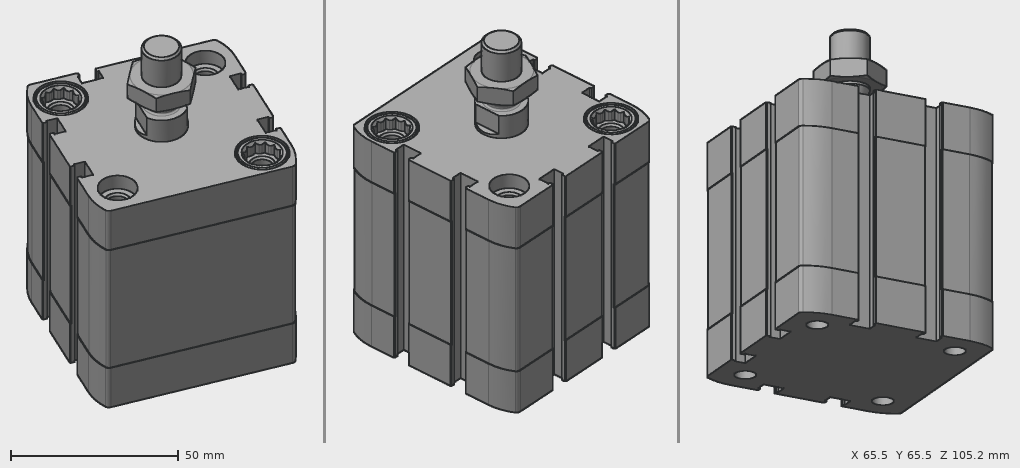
import cadquery as cq
import math

CAP_WIDTH = 65.5
HOUSING_HEIGHT = 75.0
CAP_HEIGHT = 15.0
BARREL_INSET = 0.2

HOLE_OFFSET = 23.2
CORNER_ARC_RADIUS = 18.4
CORNER_BLEND_RADIUS = 1.6

SLOT_OFFSET = 11.3
SLOT_NECK_WIDTH = 5.5
SLOT_WIDTH = 6.8
SLOT_LIP = 1.5
SLOT_DEPTH = 5.0
SLOT_CHAMFER = 0.3

THREAD_DIAMETER = 6.6
THREAD_CHAMFER_DIAMETER = 8.0
COUNTERBORE_DIAMETER = 12.0
COUNTERBORE_DEPTH = 5.0
DRIVE_CIRCLE_DIAMETER = 10.6
DRIVE_TIP_DIAMETER = 11.6
DRIVE_DEPTH = 4.5
DRIVE_MOUTH_DIAMETER = 12.4
DRIVE_MOUTH_DEPTH = 1.2
GROOVE_OUTER_DIAMETER = 16.4
SCREW_HEAD_DIAMETER = 15.5
SCREW_HEAD_CHAMFER = 0.4
GROOVE_DEPTH = 1.0

ROD_TOP = 105.2
ROD_DIAMETER = 16.0
ROD_SHOULDER = 83.2
FLATS_WIDTH = 13.0
FLATS_BOTTOM = 76.6
FLATS_RUNOUT = 0.7
NECK_DIAMETER = 10.2
NECK_FLARE = 0.6
NECK_TOP = 84.7
NECK_BLEND_RADIUS = 0.9
STUD_DIAMETER = 12.0
STUD_BOTTOM = 87.4
STUD_CHAMFER = 0.7

NUT_BOTTOM = 88.3
NUT_HEIGHT = 6.0
NUT_ACROSS_FLATS = 19.0
NUT_CORNER_DROP = 0.4


def block(half_width, bottom, height):
    """Prism with rounded corners, centred on Z."""
    inset = CAP_WIDTH / 2 - half_width
    radius = CORNER_ARC_RADIUS - inset
    arc_start = HOLE_OFFSET
    arc_reach = half_width - arc_start
    arc_end = half_width - radius + math.sqrt(radius**2 - arc_reach**2)
    outline = (
        cq.Workplane("XY", origin=(0, 0, bottom))
        .moveTo(-arc_start, half_width)
        .lineTo(arc_start, half_width)
        .radiusArc((half_width, arc_end), radius)
        .lineTo(half_width, -arc_end)
        .radiusArc((arc_start, -half_width), radius)
        .lineTo(-arc_start, -half_width)
        .radiusArc((-half_width, -arc_end), radius)
        .lineTo(-half_width, arc_end)
        .radiusArc((-arc_start, half_width), radius)
        .close()
    )
    prism = outline.extrude(height)
    return prism.faces("<X or >X").edges("|Z").fillet(CORNER_BLEND_RADIUS - inset)


def slot_cutter(half_width, bottom, height):
    """T-slot cutter opening on a +Y face at half_width, with a chamfered mouth."""
    neck = SLOT_NECK_WIDTH / 2
    mouth = neck + SLOT_CHAMFER
    wide = SLOT_WIDTH / 2
    lip = CAP_WIDTH / 2 - SLOT_LIP
    floor = CAP_WIDTH / 2 - SLOT_DEPTH
    right_side = [
        (mouth, half_width),
        (neck, half_width - SLOT_CHAMFER),
        (neck, lip),
        (wide, lip),
        (wide, floor),
    ]
    left_side = [(-x, y) for x, y in reversed(right_side)]
    section = cq.Workplane("XY", origin=(0, 0, bottom)).polyline(right_side + left_side).close()
    return section.extrude(height)


def slotted_block(half_width, bottom, height):
    """Block with two T-slots on each of the +Y, -X and -Y sides."""
    body = block(half_width, bottom, height)
    cutter = slot_cutter(half_width, bottom, height)
    for side_angle in (0, 90, 180):
        for offset in (-SLOT_OFFSET, SLOT_OFFSET):
            placed = cutter.translate((offset, 0, 0)).rotate((0, 0, 0), (0, 0, 1), side_angle)
            body = body.cut(placed)
    return body


def cylinder(diameter, bottom, top):
    return cq.Workplane("XY", origin=(0, 0, bottom)).circle(diameter / 2).extrude(top - bottom)


def cone(bottom_diameter, top_diameter, bottom, top):
    return cq.Workplane(cq.Solid.makeCone(
        bottom_diameter / 2, top_diameter / 2, top - bottom, pnt=cq.Vector(0, 0, bottom)
    ))


def threaded_hole(mouth_z):
    """Through hole with a 45 degree chamfer at mouth_z."""
    chamfer = (THREAD_CHAMFER_DIAMETER - THREAD_DIAMETER) / 2
    mouth = cone(THREAD_DIAMETER, THREAD_CHAMFER_DIAMETER, mouth_z - chamfer, mouth_z)
    return cylinder(THREAD_DIAMETER, 0, mouth_z).union(mouth)


def plain_hole():
    floor = HOUSING_HEIGHT - COUNTERBORE_DEPTH
    return threaded_hole(floor).union(cylinder(COUNTERBORE_DIAMETER, floor, HOUSING_HEIGHT))


def drive_recess():
    """Twelve-pointed drive: two hexagons and a circle, with a conical mouth."""
    floor = HOUSING_HEIGHT - DRIVE_DEPTH
    recess = cylinder(DRIVE_CIRCLE_DIAMETER, floor, HOUSING_HEIGHT)
    hexagon = (
        cq.Workplane("XY", origin=(0, 0, floor))
        .polygon(6, DRIVE_TIP_DIAMETER)
        .extrude(DRIVE_DEPTH)
    )
    for angle in (0, 30):
        recess = recess.union(hexagon.rotate((0, 0, 0), (0, 0, 1), angle))
    mouth = cone(
        DRIVE_CIRCLE_DIAMETER, DRIVE_MOUTH_DIAMETER, HOUSING_HEIGHT - DRIVE_MOUTH_DEPTH, HOUSING_HEIGHT
    )
    return recess.union(mouth)


def ring_groove():
    """Groove around the screw head, whose upper edge is chamfered."""
    head_top = SCREW_HEAD_DIAMETER - 2 * SCREW_HEAD_CHAMFER
    floor = HOUSING_HEIGHT - GROOVE_DEPTH
    chamfer_bottom = HOUSING_HEIGHT - SCREW_HEAD_CHAMFER
    head = cylinder(SCREW_HEAD_DIAMETER, floor, chamfer_bottom).union(
        cone(SCREW_HEAD_DIAMETER, head_top, chamfer_bottom, HOUSING_HEIGHT)
    )
    return cylinder(GROOVE_OUTER_DIAMETER, floor, HOUSING_HEIGHT).cut(head)


def make_housing():
    half_cap = CAP_WIDTH / 2
    barrel_height = HOUSING_HEIGHT - 2 * CAP_HEIGHT
    body = slotted_block(half_cap - BARREL_INSET, CAP_HEIGHT, barrel_height)
    for cap_bottom in (0, HOUSING_HEIGHT - CAP_HEIGHT):
        body = body.union(slotted_block(half_cap, cap_bottom, CAP_HEIGHT))

    plain = plain_hole()
    screw_hole = threaded_hole(HOUSING_HEIGHT - DRIVE_DEPTH).union(drive_recess())
    groove = ring_groove()
    for side in (-1, 1):
        x = side * HOLE_OFFSET
        body = body.cut(plain.translate((x, -x, 0)))
        body = body.cut(screw_hole.translate((x, x, 0)))
        body = body.cut(groove.translate((x, x, 0)))
    return body


def make_rod():
    """Turned rod standing on the housing, with two wrench flats."""
    neck = NECK_DIAMETER / 2
    stud = STUD_DIAMETER / 2
    rod_radius = ROD_DIAMETER / 2
    taper_angle = math.atan((stud - neck) / (STUD_BOTTOM - NECK_TOP))
    tangent_length = NECK_BLEND_RADIUS * math.tan(taper_angle / 2)
    blend_end = (
        neck + tangent_length * math.sin(taper_angle),
        NECK_TOP + tangent_length * math.cos(taper_angle),
    )
    profile = (
        cq.Workplane("XZ")
        .moveTo(0, HOUSING_HEIGHT)
        .lineTo(rod_radius, HOUSING_HEIGHT)
        .lineTo(rod_radius, ROD_SHOULDER)
        .lineTo(neck + NECK_FLARE, ROD_SHOULDER)
        .radiusArc((neck, ROD_SHOULDER + NECK_FLARE), NECK_FLARE)
        .lineTo(neck, NECK_TOP - tangent_length)
        .radiusArc(blend_end, NECK_BLEND_RADIUS)
        .lineTo(stud, STUD_BOTTOM)
        .lineTo(stud, ROD_TOP - STUD_CHAMFER)
        .lineTo(stud - STUD_CHAMFER, ROD_TOP)
        .lineTo(0, ROD_TOP)
        .close()
    )
    rod = profile.revolve(360, (0, 0, 0), (0, 1, 0))

    flat = FLATS_WIDTH / 2
    flat_cutter = (
        cq.Workplane("YZ")
        .moveTo(flat, FLATS_BOTTOM)
        .lineTo(rod_radius, FLATS_BOTTOM - FLATS_RUNOUT)
        .lineTo(rod_radius, ROD_SHOULDER)
        .lineTo(flat, ROD_SHOULDER)
        .close()
        .extrude(rod_radius, both=True)
    )
    return rod.cut(flat_cutter).cut(flat_cutter.mirror("XZ"))


def make_nut():
    """Hexagon nut with corners on the Y axis and both faces coned."""
    across_corners = NUT_ACROSS_FLATS / math.cos(math.pi / 6)
    corner_radius = across_corners / 2
    face_radius = NUT_ACROSS_FLATS / 2
    prism = (
        cq.Workplane("XY", origin=(0, 0, NUT_BOTTOM))
        .polygon(6, across_corners)
        .extrude(NUT_HEIGHT)
        .rotate((0, 0, 0), (0, 0, 1), 30)
    )
    nut_top = NUT_BOTTOM + NUT_HEIGHT
    envelope = (
        cq.Workplane("XZ")
        .moveTo(0, NUT_BOTTOM)
        .lineTo(face_radius, NUT_BOTTOM)
        .lineTo(corner_radius, NUT_BOTTOM + NUT_CORNER_DROP)
        .lineTo(corner_radius, nut_top - NUT_CORNER_DROP)
        .lineTo(face_radius, nut_top)
        .lineTo(0, nut_top)
        .close()
        .revolve(360, (0, 0, 0), (0, 1, 0))
    )
    bore = cylinder(STUD_DIAMETER, NUT_BOTTOM, nut_top)
    return prism.intersect(envelope).cut(bore)


housing = make_housing()
rod = make_rod()
nut = make_nut()

result = cq.Compound.makeCompound([housing.val(), rod.val(), nut.val()])